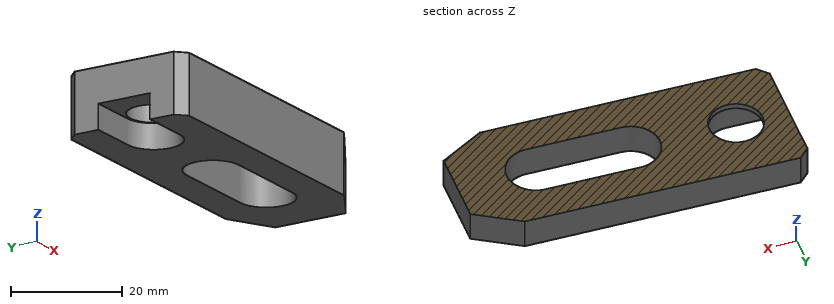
import cadquery as cq

length = 63.0
width = 25.0
height = 12.0

rear_chamfer = 2.0
nose_width = 15.0
nose_taper_length = 8.6
nose_bevel_length = 5.15
nose_bevel_drop = 3.0

hole_diameter = 10.0
hole_x = 10.0
slot_start = 24.5
slot_length = 29.0
slot_width = 10.95
groove_width = slot_width
groove_depth = 5.0

slot_center_x = slot_start + slot_length / 2


def make_body():
    """Bar with chamfered rear corners and a nose narrowed on both sides."""
    upper_half = [
        (0, 0),
        (0, width / 2 - rear_chamfer),
        (rear_chamfer, width / 2),
        (length - nose_taper_length, width / 2),
        (length, nose_width / 2),
        (length, 0),
    ]
    return cq.Workplane("XY").polyline(upper_half).mirrorX().extrude(height)


def make_nose_bevel():
    """Wedge that slopes the top of the nose down to its tip."""
    return (
        cq.Workplane("XZ")
        .moveTo(length - nose_bevel_length, height)
        .lineTo(length, height)
        .lineTo(length, height - nose_bevel_drop)
        .close()
        .extrude(width / 2, both=True)
    )


def make_hole():
    """Round through hole near the rear end."""
    return cq.Workplane("XY").center(hole_x, 0).circle(hole_diameter / 2).extrude(height)


def make_slot():
    """Round-ended through slot."""
    return cq.Workplane("XY").center(slot_center_x, 0).slot2D(slot_length, slot_width).extrude(height)


def make_groove():
    """Bottom groove from the rear end, rounded at its front around the hole axis."""
    channel = cq.Workplane("XY").box(hole_x, groove_width, groove_depth, centered=(False, True, False))
    round_end = cq.Workplane("XY").center(hole_x, 0).circle(groove_width / 2).extrude(groove_depth)
    return channel.union(round_end)


result = (
    make_body()
    .cut(make_nose_bevel())
    .cut(make_hole())
    .cut(make_slot())
    .cut(make_groove())
)